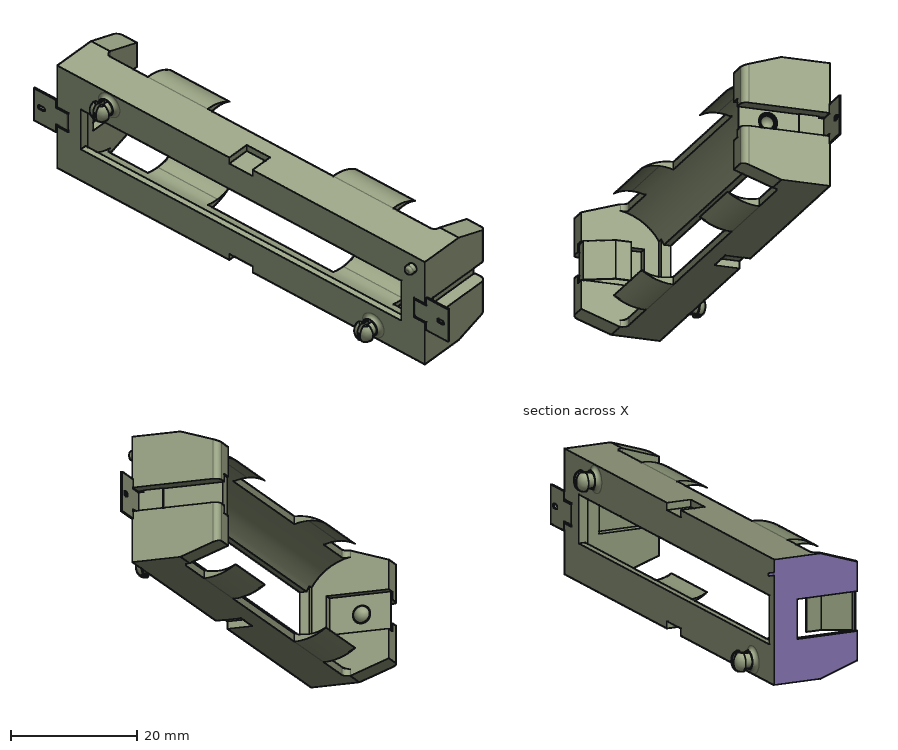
import cadquery as cq
import math


total_length = 86.6
housing_length = 76.9
housing_width = 20.7
housing_height = 14.8
rail_height = 7.2
end_gap = 68.9
root_radius = 1.0
top_edge_radius = 1.0
shoulder_height = 8.2
pillar_top_width = 16.3

half_length = housing_length / 2
half_gap = end_gap / 2

trough_radius = 9.35
axis_height = 9.6
window_length = 66.9
window_width = 8.05
end_ledge_height = 1.65

clip_width = 12.55
clip_offset = 19.4
clip_tip_height = 12.55
clip_tip_z = 8.6
clip_foot_depth = 0.9
clip_trim_stock = 1.1

notch_length = 4.85
notch_height = 4.2
notch_depth = 1.2

pin_x = 27.6
pin_z = 8.0
pin_length = 3.5
pin_shank_radius = 1.34
pin_collar_radius = 1.515
pin_collar_height = 0.74
pin_head_start = 2.1
pin_head_radius = 1.8
pin_head_flat_width = 3.1
pin_tip_radius = 0.3
pin_slot_width = 0.65
locator_x = 35.9
locator_radius = 0.82
locator_length = 1.4
locator_round = 0.5

sheet = 0.3
groove_width = 3.9
groove_floor_x = 36.1
seat_bottom = 4.15
plate_top = 14.5
plate_width = 6.5
tab_inner_x = 38.7
stem_width = 3.4
stem_height = 1.1
tab_slot_x = 41.7
tab_slot_length = 1.5
tab_slot_width = 0.8
dimple_radius = 1.6
dimple_cone_depth = 0.35
dimple_dome_radius = 1.1
dimple_depth = 1.1
leaf_x = 31.9
leaf_bottom = 7.3
leaf_bend_height = 9.9
leaf_fold_x = 34.2


def box(x_range, y_range, width):
    """Block between two X and two Y positions, centred on Z = 0."""
    (x0, x1), (y0, y1) = x_range, y_range
    return cq.Workplane("XY").box(x1 - x0, y1 - y0, width, centered=(False, False, True)).translate((x0, y0, 0))


def make_frame():
    """Rails and pillars: a U outline limited by the leaning pillar flanks."""
    outline = (
        cq.Workplane("XY")
        .moveTo(-half_length, 0)
        .lineTo(half_length, 0)
        .lineTo(half_length, housing_height)
        .lineTo(half_gap, housing_height)
        .lineTo(half_gap, rail_height)
        .lineTo(-half_gap, rail_height)
        .lineTo(-half_gap, housing_height)
        .lineTo(-half_length, housing_height)
        .close()
        .extrude(housing_width / 2, both=True)
    )
    outline = outline.edges(cq.selectors.BoxSelector(
        (-half_gap - 0.9, rail_height - 0.9, -0.9), (half_gap + 0.9, rail_height + 0.9, 0.9))).fillet(root_radius)
    for end in (-1, 1):
        corner = (end * half_length, housing_height, 0)
        outline = outline.edges(cq.selectors.NearestToPointSelector(corner)).fillet(top_edge_radius)
    section = (
        cq.Workplane("YZ")
        .polyline([
            (0, -housing_width / 2),
            (shoulder_height, -housing_width / 2),
            (housing_height, -pillar_top_width / 2),
            (housing_height, pillar_top_width / 2),
            (shoulder_height, housing_width / 2),
            (0, housing_width / 2),
        ])
        .close()
        .extrude(half_length, both=True)
    )
    return outline.intersect(section)


def make_trough():
    """Space for the lower half of the cell, open to the mounting face through the floor window."""
    trough = cq.Workplane("YZ").center(axis_height, 0).circle(trough_radius).extrude(half_gap, both=True)
    trough = trough.intersect(box((-half_gap, half_gap), (0, axis_height), housing_width))
    ledge_zone = box((-half_gap, half_gap), (0, end_ledge_height), housing_width)
    ledge_zone = ledge_zone.cut(box((-window_length / 2, window_length / 2), (0, end_ledge_height), housing_width))
    window = box((-window_length / 2, window_length / 2), (0, axis_height), window_width)
    return trough.cut(ledge_zone).union(window)


def make_notches():
    notches = cq.Workplane("XY")
    for side in (-1, 1):
        notch = box((-notch_length / 2, notch_length / 2), (0, notch_height), 2 * notch_depth)
        notches = notches.add(notch.translate((0, 0, side * housing_width / 2)))
    return notches.combine()


def make_contact_cavity():
    """Outer groove and inner seat of the +X pillar."""
    groove = box((groove_floor_x, half_length), (0, housing_height), groove_width)
    seat = box((half_gap, groove_floor_x), (seat_bottom, housing_height), plate_width)
    return groove.union(seat)


def arc_middle(tangent_point, end_point):
    """Middle (Y, Z) of an arc that starts along +Y at one point and bends toward -Z to the other."""
    rise = end_point[0] - tangent_point[0]
    drop = tangent_point[1] - end_point[1]
    radius = (rise ** 2 + drop ** 2) / (2 * drop)
    half_angle = math.atan2(drop, rise)
    return (
        tangent_point[0] + radius * math.sin(half_angle),
        tangent_point[1] - radius * (1 - math.cos(half_angle)),
    )


def make_clip():
    """Clip on the +Z rail, thinning to a sharp tip that curls over the cell.

    Below the cell axis its inner flank is left with stock for the trough to trim.
    """
    outer_root = (rail_height, housing_width / 2)
    tip = (clip_tip_height, clip_tip_z)
    inner_bend = (axis_height, trough_radius)
    foot_height = rail_height - clip_foot_depth
    return (
        cq.Workplane("YZ")
        .moveTo(*outer_root)
        .threePointArc(arc_middle(outer_root, tip), tip)
        .threePointArc(arc_middle(inner_bend, tip), inner_bend)
        .lineTo(foot_height, trough_radius - clip_trim_stock)
        .lineTo(foot_height, housing_width / 2)
        .close()
        .extrude(clip_width / 2, both=True)
    )


def make_snap_pin():
    """Split pin pointing to -Y: flared collar, shank and rounded head with two flats."""
    flare_radius = pin_collar_radius + pin_collar_height
    flare_mid = pin_collar_height * (1 - math.sqrt(0.5))
    head_mid = math.sqrt(0.5)
    pin = (
        cq.Workplane("XY")
        .moveTo(0, 0)
        .lineTo(flare_radius, 0)
        .threePointArc((pin_collar_radius + flare_mid, -flare_mid), (pin_collar_radius, -pin_collar_height))
        .lineTo(pin_shank_radius, -pin_collar_height)
        .lineTo(pin_shank_radius, -pin_head_start)
        .lineTo(pin_head_radius, -pin_head_start)
        .threePointArc(
            (
                pin_tip_radius + (pin_head_radius - pin_tip_radius) * head_mid,
                -pin_head_start - (pin_length - pin_head_start) * head_mid,
            ),
            (pin_tip_radius, -pin_length),
        )
        .lineTo(0, -pin_length)
        .close()
        .revolve(360, (0, 0, 0), (0, 1, 0))
    )
    head_span = (-pin_length, -pin_head_start)
    head_zone = box((-pin_head_radius, pin_head_radius), head_span, 2 * pin_head_radius)
    flats = head_zone.cut(box((-pin_head_radius, pin_head_radius), head_span, pin_head_flat_width))
    slot = box(
        (-pin_slot_width / 2, pin_slot_width / 2), (-pin_length, -pin_collar_height), 2 * pin_head_radius)
    return pin.cut(flats).cut(slot)


def make_locator():
    return (
        cq.Workplane("XZ")
        .center(locator_x, pin_z)
        .circle(locator_radius)
        .extrude(locator_length)
        .faces("<Y")
        .edges()
        .fillet(locator_round)
    )


def make_housing():
    housing = make_frame()
    clip = make_clip()
    for x in (-clip_offset, clip_offset):
        for turn in (0, 180):
            housing = housing.union(clip.rotate((0, 0, 0), (0, 1, 0), turn).translate((x, 0, 0)))
    housing = housing.cut(make_trough()).cut(make_notches())
    cavity = make_contact_cavity()
    housing = housing.cut(cavity).cut(cavity.mirror("YZ"))
    snap_pin = make_snap_pin()
    for side in (-1, 1):
        housing = housing.union(snap_pin.translate((side * pin_x, 0, -side * pin_z)))
    return housing.union(make_locator())


def make_terminal():
    """Part shared by both contacts, at +X: solder tab, stem, riser and plate in the pillar."""
    riser = (groove_floor_x, groove_floor_x + sheet)
    tab = box((tab_inner_x, total_length / 2), (0, sheet), plate_width)
    tab_slot = (
        cq.Workplane("XZ")
        .center(tab_slot_x, 0)
        .slot2D(tab_slot_length, tab_slot_width)
        .extrude(sheet, both=True)
    )
    stem = box((groove_floor_x, tab_inner_x), (0, sheet), stem_width)
    riser_foot = box(riser, (0, stem_height), stem_width)
    riser_foot = riser_foot.union(stem).edges("|Z and <X and <Y").fillet(sheet)
    riser_top = box(riser, (stem_height, seat_bottom + sheet), groove_width)
    plate = box((groove_floor_x - sheet, groove_floor_x), (seat_bottom, plate_top), plate_width)
    return tab.cut(tab_slot).union(riser_foot).union(riser_top).union(plate)


def make_dimple_plug(offset):
    """Solid of revolution about the cell axis: a short cone ending in a dome toward the cell."""
    cone_end_x = groove_floor_x - dimple_cone_depth
    apex_x = groove_floor_x - dimple_depth - offset
    rim = dimple_radius + offset
    dome_rim = dimple_dome_radius + offset
    dome_depth = cone_end_x - apex_x
    dome_radius = (dome_rim ** 2 + dome_depth ** 2) / (2 * dome_depth)
    half_angle = math.atan2(dome_depth, dome_rim)
    dome_mid = (apex_x + dome_radius * (1 - math.cos(half_angle)), axis_height + dome_radius * math.sin(half_angle))
    return (
        cq.Workplane("XY")
        .moveTo(groove_floor_x, axis_height)
        .lineTo(groove_floor_x, axis_height + rim)
        .lineTo(cone_end_x, axis_height + dome_rim)
        .threePointArc(dome_mid, (apex_x, axis_height))
        .close()
        .revolve(360, (0, axis_height, 0), (1, axis_height, 0))
    )


def make_button_contact():
    """-X contact: a dimple in the plate bulges toward the cell."""
    contact = make_terminal().union(make_dimple_plug(sheet)).cut(make_dimple_plug(0))
    return contact.mirror("YZ")


def make_leaf_contact():
    """+X contact: the plate folds over at the top into a leaf sloping down toward the cell."""
    leaf = (
        cq.Workplane("XY")
        .polyline([
            (groove_floor_x, plate_top),
            (leaf_fold_x, plate_top),
            (leaf_x, leaf_bend_height),
            (leaf_x, leaf_bottom),
            (leaf_x + sheet, leaf_bottom),
            (leaf_x + sheet, leaf_bend_height),
            (leaf_fold_x + sheet, plate_top - sheet),
            (groove_floor_x, plate_top - sheet),
        ])
        .close()
        .extrude(plate_width / 2, both=True)
    )
    return make_terminal().union(leaf)


housing = make_housing()
button_contact = make_button_contact()
leaf_contact = make_leaf_contact()

result = cq.Compound.makeCompound([*housing.solids().vals(), *button_contact.solids().vals(), *leaf_contact.solids().vals()])